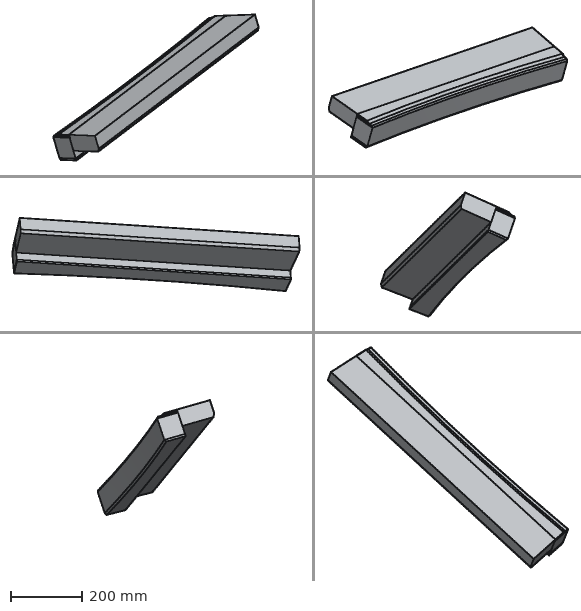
import cadquery as cq
import math

TILT = 18.5
LENGTH = 802.0
END_TAPER = 4.0

BEAM_DEPTH = 99.0
BEAM_HEIGHT = 50.0
BEAM_CHAMFER_DEPTH = 6.0
BEAM_CHAMFER_HEIGHT = 10.0

BLOCK_DEPTH = 62.0
BLOCK_HEIGHT = 64.0
PLATE_THICKNESS = 5.0
BASE_THICKNESS = 6.5
PLATE_BEVEL = 4.0
UPPER_SETBACK = 14.5
UPPER_BEVEL = 10.0
FRONT_SAG = 11.0

UPPER_BOTTOM = -PLATE_THICKNESS
BLOCK_TOP = UPPER_BOTTOM - PLATE_THICKNESS
BLOCK_BOTTOM = BLOCK_TOP - BLOCK_HEIGHT
BASE_BOTTOM = BLOCK_BOTTOM - BASE_THICKNESS


def half_length(u):
    """Distance from mid-length to the slanted end face at depth u."""
    return LENGTH / 2 - (BEAM_DEPTH - u) * math.tan(math.radians(END_TAPER))


HALF_FRONT = half_length(-BLOCK_DEPTH)
FRONT_RADIUS = (HALF_FRONT**2 + FRONT_SAG**2) / (2 * FRONT_SAG)
FRONT_CENTER = FRONT_SAG - BLOCK_DEPTH - FRONT_RADIUS


def tilted(body):
    """Turn a body from the U-V frame to its final slope."""
    return body.rotate((0, 0, 0), (0, 1, 0), -TILT)


def between_ends(front, back):
    """Plan trapezoid from depth front to depth back, bounded by the two slanted end faces."""
    corners = [
        (front, -half_length(front)),
        (back, -half_length(back)),
        (back, half_length(back)),
        (front, half_length(front)),
    ]
    return cq.Workplane("XY").workplane(offset=BASE_BOTTOM).polyline(corners).close().extrude(-BASE_BOTTOM)


def make_beam():
    outline = [
        (0, 0),
        (BEAM_DEPTH, 0),
        (BEAM_DEPTH, BEAM_CHAMFER_HEIGHT - BEAM_HEIGHT),
        (BEAM_DEPTH - BEAM_CHAMFER_DEPTH, -BEAM_HEIGHT),
        (0, -BEAM_HEIGHT),
    ]
    bar = cq.Workplane("XZ").polyline(outline).close().extrude(LENGTH / 2, both=True)
    return tilted(bar.intersect(between_ends(0, BEAM_DEPTH)))


def make_layer(bottom, top, bottom_setback=0.0, top_setback=0.0):
    """Layer ahead of the beam with a hollow front, its setbacks measured from the block front."""
    front = FRONT_SAG - BLOCK_DEPTH
    outline = [
        (front + bottom_setback, bottom),
        (front + top_setback, top),
        (BLOCK_DEPTH, top),
        (BLOCK_DEPTH, bottom),
    ]
    ring = (
        cq.Workplane("XZ")
        .polyline(outline)
        .close()
        .revolve(360, (FRONT_CENTER, 0), (FRONT_CENTER, 1))
    )
    return tilted(ring.intersect(between_ends(-BLOCK_DEPTH, 0)))


def make_upper_cover():
    return make_layer(UPPER_BOTTOM, 0, UPPER_SETBACK, UPPER_SETBACK + UPPER_BEVEL)


def make_lower_cover():
    return make_layer(BLOCK_TOP, UPPER_BOTTOM, top_setback=PLATE_BEVEL)


def make_block():
    return make_layer(BLOCK_BOTTOM, BLOCK_TOP)


def make_base():
    return make_layer(BASE_BOTTOM, BLOCK_BOTTOM, bottom_setback=PLATE_BEVEL)


beam = make_beam()
upper_cover = make_upper_cover()
lower_cover = make_lower_cover()
block = make_block()
base = make_base()

result = cq.Compound.makeCompound(
    [beam.val(), upper_cover.val(), lower_cover.val(), block.val(), base.val()]
)